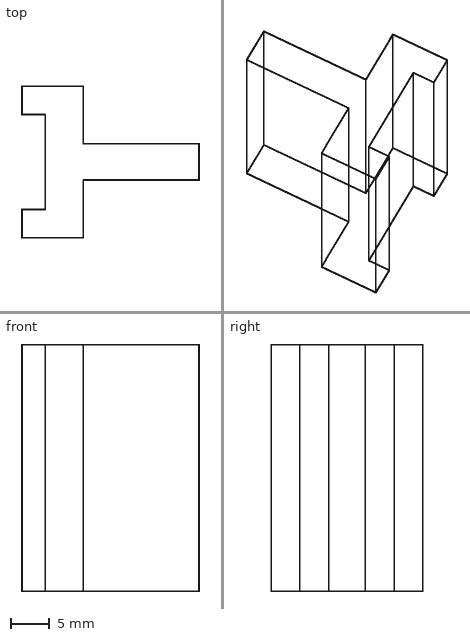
import cadquery as cq

height = 32.0
total_depth = 23.0
channel_width = 19.7
channel_depth = 8.0
lip_depth = 3.0
lip_width = 3.7
fin_thickness = 4.75

groove_width = channel_width - 2 * lip_width
fin_length = total_depth - channel_depth


def upright_block(start_x, length_x, width_y):
    """Full-height block centred on Y, starting at the given X."""
    return cq.Workplane("XY").box(
        length_x, width_y, height, centered=(False, True, False)
    ).translate((start_x, 0, 0))


channel = upright_block(0, channel_depth, channel_width)
channel = channel.cut(upright_block(0, lip_depth, groove_width))

fin = upright_block(channel_depth, fin_length, fin_thickness)

result = channel.union(fin)